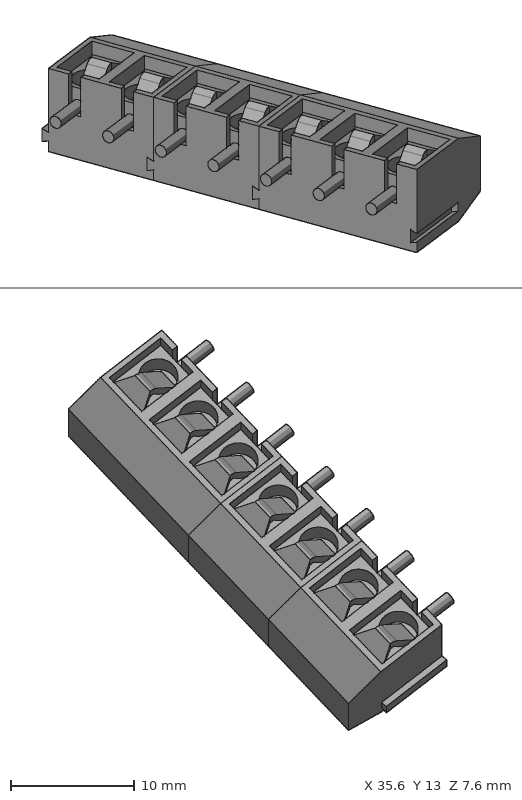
import cadquery as cq
import math

module_pole_counts = [2, 2, 3]
row_length = 35.0
pole_pitch = row_length / sum(module_pole_counts)

body_depth = 10.0
body_height = 7.6
rear_slope_run = 3.45
rear_slope_drop = 1.28

tongue_reach = 0.6
tongue_length = 6.48
tongue_center_z = 1.35
tongue_tip_height = 1.2
tongue_root_height = 0.8

pocket_width = 4.02
pocket_front_y = 0.55
pocket_length = 5.5
pocket_back_y = pocket_front_y + pocket_length
pocket_floor_z = 6.23

well_radius = 1.6
well_center_y = 2.53
well_floor_z = 4.25

contact_width = 1.9
contact_back_y = 4.2
contact_top_z = 7.2
contact_slope_angle = math.radians(51)
contact_round_radius = 0.85
ramp_back_step = 0.15

slot_width = 1.15
slot_bottom_z = 4.0
pin_radius = 0.55
pin_center_z = 4.63
pin_reach = 3.0


def prism_along_x(outline, x_start, length):
    """Extrude a closed (y, z) outline toward +X."""
    return cq.Workplane("YZ").workplane(offset=x_start).polyline(outline).close().extrude(length)


def box_at(x_center, width, y_start, depth, z_bottom, z_top):
    """Box centred on x_center, given by its front face and its bottom and top."""
    return cq.Workplane("XY").box(width, depth, z_top - z_bottom, centered=(True, False, False)).translate(
        (x_center, y_start, z_bottom)
    )


def housing_block(x_start, length):
    """Plain block with its top and bottom rear edges sloped."""
    shoulder_y = body_depth - rear_slope_run
    outline = [
        (0, 0),
        (shoulder_y, 0),
        (body_depth, rear_slope_drop),
        (body_depth, body_height - rear_slope_drop),
        (shoulder_y, body_height),
        (0, body_height),
    ]
    return prism_along_x(outline, x_start, length)


def dovetail(x_root):
    """Dovetail bar that widens from x_root toward -X and starts at the front face."""
    x_tip = x_root - tongue_reach
    outline = [
        (x_root, tongue_center_z - tongue_root_height / 2),
        (x_root, tongue_center_z + tongue_root_height / 2),
        (x_tip, tongue_center_z + tongue_tip_height / 2),
        (x_tip, tongue_center_z - tongue_tip_height / 2),
    ]
    return cq.Workplane("XZ").polyline(outline).close().extrude(-tongue_length)


def pole_cavity(x_center):
    """Pocket, round well below it, and the slot through the front wall."""
    pocket = box_at(x_center, pocket_width, pocket_front_y, pocket_length, pocket_floor_z, body_height)
    well = (
        cq.Workplane("XY")
        .workplane(offset=well_floor_z)
        .center(x_center, well_center_y)
        .circle(well_radius)
        .extrude(pocket_floor_z - well_floor_z)
    )
    slot = box_at(x_center, slot_width, 0, pocket_front_y, slot_bottom_z, body_height)
    return pocket.union(well).union(slot)


def contact_wedge(x_center):
    """Wedge with a steep front face and a rounded crest, from the well floor upward."""
    arc_center_z = contact_top_z - contact_round_radius
    arc_end_y = contact_back_y - contact_round_radius * math.sin(contact_slope_angle)
    arc_end_z = arc_center_z + contact_round_radius * math.cos(contact_slope_angle)
    arc_mid_y = contact_back_y - contact_round_radius * math.sin(contact_slope_angle / 2)
    arc_mid_z = arc_center_z + contact_round_radius * math.cos(contact_slope_angle / 2)
    foot_y = arc_end_y - (arc_end_z - well_floor_z) / math.tan(contact_slope_angle)
    return (
        cq.Workplane("YZ")
        .workplane(offset=x_center - contact_width / 2)
        .moveTo(contact_back_y, well_floor_z)
        .lineTo(contact_back_y, contact_top_z)
        .threePointArc((arc_mid_y, arc_mid_z), (arc_end_y, arc_end_z))
        .lineTo(foot_y, well_floor_z)
        .close()
        .extrude(contact_width)
    )


def contact_ramp(x_center):
    """Ramp rising from a low step at the back wall to the crest, narrowing on the way."""
    plan = [
        (x_center - pocket_width / 2, pocket_back_y),
        (x_center + pocket_width / 2, pocket_back_y),
        (x_center + contact_width / 2, contact_back_y),
        (x_center - contact_width / 2, contact_back_y),
    ]
    column = (
        cq.Workplane("XY")
        .workplane(offset=pocket_floor_z)
        .polyline(plan)
        .close()
        .extrude(contact_top_z - pocket_floor_z)
    )
    side = [
        (pocket_back_y, pocket_floor_z),
        (pocket_back_y, pocket_floor_z + ramp_back_step),
        (contact_back_y, contact_top_z),
        (contact_back_y, pocket_floor_z),
    ]
    return column.intersect(prism_along_x(side, x_center - pocket_width / 2, pocket_width))


def solder_pin(x_center):
    """Round pin from the back of the slot out past the front face."""
    return (
        cq.Workplane("XZ")
        .workplane(offset=-pocket_front_y)
        .center(x_center, pin_center_z)
        .circle(pin_radius)
        .extrude(pocket_front_y + pin_reach)
    )


def terminal_module(x_start, pole_count):
    """One module, with its poles, tongue and groove, as a single solid."""
    length = pole_count * pole_pitch
    module = housing_block(x_start, length).cut(dovetail(x_start + length)).union(dovetail(x_start))
    for pole in range(pole_count):
        x_center = x_start + (pole + 0.5) * pole_pitch
        module = module.cut(pole_cavity(x_center))
        module = module.union(contact_wedge(x_center)).union(contact_ramp(x_center))
        module = module.union(solder_pin(x_center))
    return module


modules = []
module_start = 0
for count in module_pole_counts:
    modules.append(terminal_module(module_start, count))
    module_start += count * pole_pitch

result = cq.Compound.makeCompound([module.val() for module in modules])